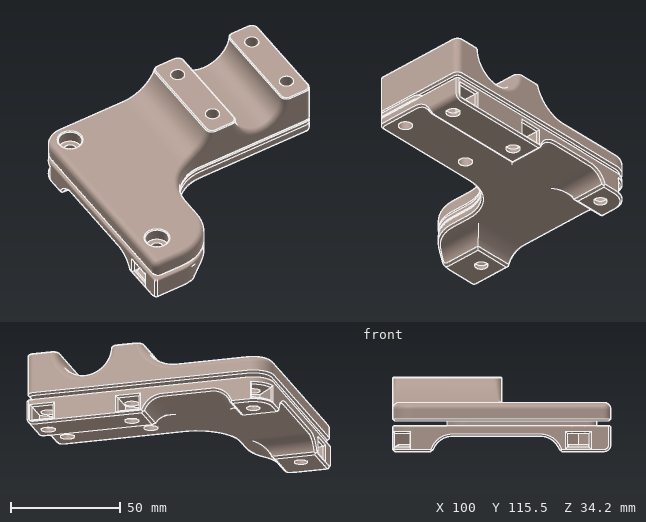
import cadquery as cq
import math

LENGTH_X = 100.0
LENGTH_Y = 115.5
ARM_WIDTH = 50.0
HEIGHT = 34.2

BASE_TOP = 12.0
CLAMP_BOTTOM = 14.0
DECK_TOP = 22.6

SWEEP_RADIUS = 20.0
FRONT_CORNER_RADIUS = SWEEP_RADIUS / 2
CORNER_RADIUS = 3.4
TOE_WIDTH = 35.0

RIM_RADIUS = 3.2
EDGE_BREAK = 1.0
PAD_CHAMFER = 0.5

BOLT_INSET = FRONT_CORNER_RADIUS
TOE_BOLT_X = 85.0
ARM_BOLT_PITCH_X = 30.0
ARM_BOLT_PITCH_Y = 40.0
SADDLE_Y = 88.0
ARM_BOLT_YS = [SADDLE_Y + side * ARM_BOLT_PITCH_Y / 2 for side in (-1, 1)]
DECK_BOLTS = [(BOLT_INSET, BOLT_INSET), (TOE_BOLT_X, BOLT_INSET)]
ARM_BOLTS = [(BOLT_INSET + dx, y) for dx in (0, ARM_BOLT_PITCH_X) for y in ARM_BOLT_YS]

ARM_HOLE_DIAMETER = 6.5
DECK_HOLE_DIAMETER = 6.0
COUNTERBORE_DIAMETER = 10.9
COUNTERBORE_DEPTH = 6.2
COUNTERBORE_CHAMFER = 0.5

BORE_RADIUS = 12.5
RAMP_RADIUS = 16.8
RAMP_START_Y = 44.4

SPACER_INSET = 24.8

ARCH_HEIGHT = 7.0
ARCH_RADIUS = 9.2
ARCH_X = (18.4, 76.6)
ARCH_Y = (18.1, 59.6)
TOE_FOOT_END_Y = 21.0
FOOT_BREAK = 1.0

NUT_WIDTH = 9.9
SLOT_FLOOR = 2.1
SLOT_TOP = 8.4
SLOT_MOUTH_CHAMFER = 0.9
BUMP_HEIGHT = 1.2
BUMP_WIDTH = 9.1
BUMP_LENGTH = 2.5

FRONT_ARM_SLOT_Y = 66.9
NUT_SLOT_YS = [FRONT_ARM_SLOT_Y, ARM_BOLT_YS[1]]


def outline(bottom, top):
    """L-shaped plan with a rounded front corner and a swept toe."""
    half_turn = SWEEP_RADIUS * math.sqrt(0.5)
    inner_x = ARM_WIDTH + SWEEP_RADIUS
    inner_y = TOE_WIDTH + SWEEP_RADIUS
    toe_x = LENGTH_X - SWEEP_RADIUS
    toe_y = TOE_WIDTH - SWEEP_RADIUS
    corner_mid = FRONT_CORNER_RADIUS * (1 - math.sqrt(0.5))
    return (
        cq.Workplane("XY", origin=(0, 0, bottom))
        .moveTo(FRONT_CORNER_RADIUS, 0)
        .lineTo(LENGTH_X, 0)
        .lineTo(LENGTH_X, toe_y)
        .threePointArc((toe_x + half_turn, toe_y + half_turn), (toe_x, TOE_WIDTH))
        .lineTo(inner_x, TOE_WIDTH)
        .threePointArc((inner_x - half_turn, inner_y - half_turn), (ARM_WIDTH, inner_y))
        .lineTo(ARM_WIDTH, LENGTH_Y)
        .lineTo(0, LENGTH_Y)
        .lineTo(0, FRONT_CORNER_RADIUS)
        .threePointArc((corner_mid, corner_mid), (FRONT_CORNER_RADIUS, 0))
        .close()
        .extrude(top - bottom)
    )


def vertical_edge_at(x, y):
    """Selector for the upright edge standing at a plan position."""
    near = 0.1
    return cq.selectors.BoxSelector((x - near, y - near, -HEIGHT), (x + near, y + near, 2 * HEIGHT))


def make_clamp():
    """Upper body: deck, saddle with two pads, and the ramp between them."""
    body = outline(CLAMP_BOTTOM, HEIGHT)
    for x, y in ((0, LENGTH_Y), (ARM_WIDTH, LENGTH_Y), (LENGTH_X, 0)):
        body = body.edges("|Z").edges(vertical_edge_at(x, y)).fillet(CORNER_RADIUS)

    rise = HEIGHT - DECK_TOP
    ramp_end_y = RAMP_START_Y + math.sqrt(RAMP_RADIUS**2 - (RAMP_RADIUS - rise) ** 2)
    mid_angle = math.acos(1 - rise / RAMP_RADIUS) / 2
    ramp_mid = (
        RAMP_START_Y + RAMP_RADIUS * math.sin(mid_angle),
        DECK_TOP + RAMP_RADIUS * (1 - math.cos(mid_angle)),
    )
    above_deck = (
        cq.Workplane("YZ")
        .moveTo(0, DECK_TOP)
        .lineTo(RAMP_START_Y, DECK_TOP)
        .threePointArc(ramp_mid, (ramp_end_y, HEIGHT))
        .lineTo(0, HEIGHT)
        .close()
        .extrude(LENGTH_X)
    )
    bore = cq.Workplane("YZ", origin=(0, SADDLE_Y, HEIGHT)).circle(BORE_RADIUS).extrude(LENGTH_X)
    body = body.cut(above_deck).cut(bore)

    rim = body.edges("not(|Z or |X or >Z or <Z)").edges(
        cq.selectors.BoxSelector((-1.2, 1.2, CLAMP_BOTTOM), (LENGTH_X + 1.2, LENGTH_Y - 1.2, HEIGHT))
    )
    body = rim.fillet(RIM_RADIUS)
    body = body.faces("<Z").chamfer(EDGE_BREAK)
    return body.faces(">Z").chamfer(PAD_CHAMFER)


def make_spacer():
    """Thin plate set back from the two front sides."""
    window = (
        cq.Workplane("XY", origin=(SPACER_INSET, SPACER_INSET, BASE_TOP))
        .rect(LENGTH_X, LENGTH_Y, centered=False)
        .extrude(CLAMP_BOTTOM - BASE_TOP)
    )
    plate = outline(BASE_TOP, CLAMP_BOTTOM).intersect(window)
    front_corner = vertical_edge_at(SPACER_INSET, SPACER_INSET)
    plate = plate.edges("|Z").edges(front_corner).fillet(FRONT_CORNER_RADIUS)
    for x in (SPACER_INSET, ARM_WIDTH):
        plate = plate.edges("|Z").edges(vertical_edge_at(x, LENGTH_Y)).fillet(CORNER_RADIUS)
    return plate.edges("|Z").edges(">X").fillet(CORNER_RADIUS)


def arch(plane, span, length):
    """Archway with a flat roof and round haunches, running along the plane's normal."""
    start, end = span
    centre_z = ARCH_HEIGHT - ARCH_RADIUS
    reach = math.sqrt(ARCH_RADIUS**2 - centre_z**2)
    half_angle = math.asin(reach / ARCH_RADIUS) / 2
    mid_reach = reach - ARCH_RADIUS * math.sin(half_angle)
    mid_z = centre_z + ARCH_RADIUS * math.cos(half_angle)
    return (
        cq.Workplane(plane)
        .moveTo(start, 0)
        .threePointArc((start + mid_reach, mid_z), (start + reach, ARCH_HEIGHT))
        .lineTo(end - reach, ARCH_HEIGHT)
        .threePointArc((end - mid_reach, mid_z), (end, 0))
        .close()
        .extrude(length)
    )


def make_base():
    """Lower body standing on feet between two crossing archways."""
    body = outline(0, BASE_TOP)
    body = body.edges("|Z").edges(vertical_edge_at(ARM_WIDTH, LENGTH_Y)).fillet(CORNER_RADIUS)
    lengthwise = arch("XZ", ARCH_X, -LENGTH_Y)
    under_arm = arch("YZ", ARCH_Y, ARM_WIDTH)
    under_toe = arch("YZ", (TOE_FOOT_END_Y, ARCH_Y[1]), LENGTH_X)
    body = body.edges("<Z").edges(">X or >Y").fillet(RIM_RADIUS)

    body = body.cut(lengthwise).cut(under_arm).cut(under_toe)
    body = body.faces("<X or <Y").edges("not(|Z or >Z)").chamfer(EDGE_BREAK)
    foot_edges = cq.selectors.BoxSelector(
        (BOLT_INSET / 2, BOLT_INSET / 2, -1.2),
        (LENGTH_X - BOLT_INSET / 2, LENGTH_Y - BOLT_INSET / 2, 1.2),
    )
    body = body.edges("<Z").edges(foot_edges).chamfer(FOOT_BREAK)
    return body.faces(">Z").edges().fillet(EDGE_BREAK)


def add_nut_slot(body, x, y, angle):
    """Side-entry nut pocket whose mouth opens one bolt inset away, towards the angle."""

    def place(shape):
        return shape.rotate((0, 0, 0), (0, 0, 1), angle).translate((x, y, SLOT_FLOOR))

    height = SLOT_TOP - SLOT_FLOOR
    hex_radius = NUT_WIDTH / math.sqrt(3)
    pocket = cq.Workplane("XY").polygon(6, 2 * hex_radius).extrude(height)
    passage = cq.Workplane("XY").box(
        BOLT_INSET + 1.2, NUT_WIDTH, height, centered=(False, True, False)
    )
    body = body.cut(place(pocket.union(passage)))

    outward = cq.Vector(math.cos(math.radians(angle)), math.sin(math.radians(angle)), 0)
    centre = cq.Vector(x, y, SLOT_FLOOR)
    mouth_start = 0.8 * BOLT_INSET
    tolerance = 0.01

    def at_mouth(edge):
        offset = edge.Center() - centre
        along = offset.dot(outward)
        across = abs(offset.cross(outward).z)
        in_height = -tolerance < offset.z < height + tolerance
        in_width = across < NUT_WIDTH / 2 + tolerance
        return in_height and in_width and along > mouth_start

    body = body.edges().filter(at_mouth).chamfer(SLOT_MOUTH_CHAMFER)

    ramp = (
        cq.Workplane("XZ", origin=(0, BUMP_WIDTH / 2, 0))
        .moveTo(hex_radius, 0)
        .lineTo(hex_radius + BUMP_LENGTH, 0)
        .lineTo(hex_radius, BUMP_HEIGHT)
        .close()
        .extrude(BUMP_WIDTH)
    )
    return body.union(place(ramp))


def drill(points, diameter, bottom=0):
    """Round cutters that reach from the given level up through the top."""
    floor = cq.Workplane("XY", origin=(0, 0, bottom))
    return floor.pushPoints(points).circle(diameter / 2).extrude(HEIGHT)


def cut_counterbores(clamp):
    """Recesses for the deck bolt heads, with a chamfered rim."""
    clamp = clamp.cut(drill(DECK_BOLTS, COUNTERBORE_DIAMETER, DECK_TOP - COUNTERBORE_DEPTH))
    near = 0.1
    rims = cq.selectors.BoxSelector((0, 0, DECK_TOP - near), (LENGTH_X, TOE_WIDTH, DECK_TOP + near))
    return clamp.edges("%CIRCLE").edges(rims).chamfer(COUNTERBORE_CHAMFER)


NUT_SLOTS = [(BOLT_INSET, y, 180) for y in NUT_SLOT_YS]
NUT_SLOTS += [(BOLT_INSET, BOLT_INSET, 225), (TOE_BOLT_X, BOLT_INSET, 270)]

slotted_slab = outline(0, BASE_TOP)
for bolt_x, bolt_y, slot_angle in NUT_SLOTS:
    slotted_slab = add_nut_slot(slotted_slab, bolt_x, bolt_y, slot_angle)
base = make_base().intersect(slotted_slab)

clamp = cut_counterbores(make_clamp())
result = base.union(make_spacer()).union(clamp)
result = result.cut(drill(ARM_BOLTS, ARM_HOLE_DIAMETER)).cut(drill(DECK_BOLTS, DECK_HOLE_DIAMETER))